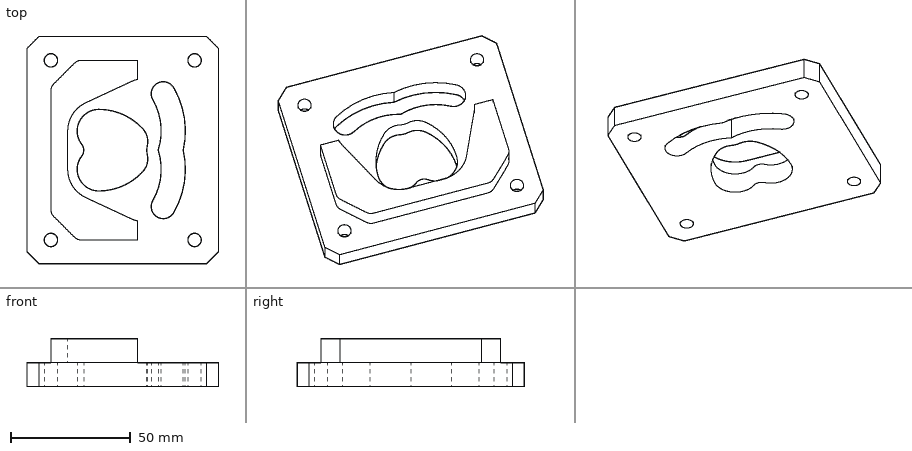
import cadquery as cq
import math

PLATE_X = 80.0
PLATE_Y = 95.0
PLATE_THICKNESS = 10.0
PLATE_CHAMFER = 5.0

HOLE_DIAMETER = 5.5
HOLE_PITCH_X = 60.0
HOLE_PITCH_Y = 75.0

PIVOT_X = -10.0
PIVOT_Y = 8.0

GUIDE_HEIGHT = 10.0
GUIDE_LEFT = -HOLE_PITCH_X / 2
GUIDE_TIP = 6.2
GUIDE_HALF_Y = HOLE_PITCH_Y / 2
GUIDE_CORNER_RADIUS = 4.0
GUIDE_CHAMFER = 11.0
GUIDE_CHAMFER_ANGLE = 45.0
GUIDE_INNER_RADIUS = 13.0
GUIDE_FLARE_ANGLE = 25.0
GUIDE_FLARE_END = 3.8
GUIDE_TIP_RADIUS = 10.0

LOBE_RADIUS = 9.0
LOBE_BLEND_RADIUS = 4.0
SHOULDER_X = 2.4
SHOULDER_Y = 3.6
SHOULDER_RADIUS = 8.0
SHOULDER_BLEND_RADIUS = 8.0
FLANK_RADIUS = 25.0

SLOT_PATH_RADIUS = 31.1
SLOT_WIDTH = 10.0
SLOT_END_ANGLE = 30.0


def polar(center, radius, angle):
    """Point at a distance and an angle (radians) from a center."""
    return (center[0] + radius * math.cos(angle), center[1] + radius * math.sin(angle))


def direction(start, end):
    """Angle in radians of the line from start to end."""
    return math.atan2(end[1] - start[1], end[0] - start[0])


def arc(sketch, center, radius, start, end):
    """Add an arc about center between two angles in radians."""
    middle = polar(center, radius, (start + end) / 2)
    return sketch.threePointArc(middle, polar(center, radius, end))


def mirrored_prism(half_outline, height):
    """Extrude an outline drawn on the +Y side and join its mirror image."""
    half = half_outline.close().extrude(height)
    return half.union(half.mirror("XZ"))


def make_plate():
    plate = cq.Workplane("XY").box(PLATE_X, PLATE_Y, PLATE_THICKNESS, centered=(True, True, False))
    plate = plate.edges("|Z").chamfer(PLATE_CHAMFER)
    holes = plate.faces(">Z").workplane().rect(HOLE_PITCH_X, HOLE_PITCH_Y, forConstruction=True).vertices()
    return holes.hole(HOLE_DIAMETER)


def make_guide():
    pivot = (PIVOT_X, PIVOT_Y)
    chamfer_angle = math.radians(GUIDE_CHAMFER_ANGLE)
    corner_setback = GUIDE_CORNER_RADIUS * math.tan(chamfer_angle / 2)
    corner_offset = GUIDE_CHAMFER + corner_setback
    lower_corner = (GUIDE_LEFT + GUIDE_CORNER_RADIUS, GUIDE_HALF_Y - corner_offset)
    upper_corner = (GUIDE_LEFT + corner_offset, GUIDE_HALF_Y - GUIDE_CORNER_RADIUS)
    slope_normal = chamfer_angle + math.pi / 2
    flare = math.radians(GUIDE_FLARE_ANGLE)
    flare_normal = flare + math.pi / 2
    flare_start = polar(pivot, GUIDE_INNER_RADIUS, flare_normal)
    flare_end_y = flare_start[1] + (GUIDE_FLARE_END - flare_start[0]) * math.tan(flare)
    tip_center = polar((GUIDE_FLARE_END, flare_end_y), -GUIDE_TIP_RADIUS, flare_normal)
    tip_angle = math.acos((GUIDE_TIP - tip_center[0]) / GUIDE_TIP_RADIUS)

    outline = cq.Workplane("XY").workplane(offset=PLATE_THICKNESS)
    outline = outline.moveTo(GUIDE_LEFT, 0).lineTo(GUIDE_LEFT, lower_corner[1])
    outline = arc(outline, lower_corner, GUIDE_CORNER_RADIUS, math.pi, slope_normal)
    outline = outline.lineTo(*polar(upper_corner, GUIDE_CORNER_RADIUS, slope_normal))
    outline = arc(outline, upper_corner, GUIDE_CORNER_RADIUS, slope_normal, math.pi / 2)
    outline = outline.lineTo(GUIDE_TIP, GUIDE_HALF_Y)
    outline = outline.lineTo(*polar(tip_center, GUIDE_TIP_RADIUS, tip_angle))
    outline = arc(outline, tip_center, GUIDE_TIP_RADIUS, tip_angle, flare_normal)
    outline = outline.lineTo(*flare_start)
    outline = arc(outline, pivot, GUIDE_INNER_RADIUS, flare_normal, math.pi)
    outline = outline.lineTo(PIVOT_X - GUIDE_INNER_RADIUS, 0)
    return mirrored_prism(outline, GUIDE_HEIGHT)


def flank_center(lobe, shoulder):
    """Center of the long arc that encloses and touches lobe and shoulder."""
    to_lobe = FLANK_RADIUS - LOBE_RADIUS
    to_shoulder = FLANK_RADIUS - SHOULDER_RADIUS
    span = math.dist(lobe, shoulder)
    cosine = (to_lobe**2 + span**2 - to_shoulder**2) / (2 * to_lobe * span)
    return polar(lobe, to_lobe, direction(lobe, shoulder) - math.acos(cosine))


def make_window():
    lobe = (PIVOT_X, PIVOT_Y)
    shoulder = (SHOULDER_X, SHOULDER_Y)
    flank = flank_center(lobe, shoulder)
    lobe_reach = LOBE_RADIUS + LOBE_BLEND_RADIUS
    shoulder_reach = SHOULDER_RADIUS + SHOULDER_BLEND_RADIUS
    left_blend = (PIVOT_X - math.sqrt(lobe_reach**2 - PIVOT_Y**2), 0)
    right_blend = (SHOULDER_X + math.sqrt(shoulder_reach**2 - SHOULDER_Y**2), 0)
    lobe_start = direction(lobe, left_blend) + 2 * math.pi
    lobe_end = direction(flank, lobe)
    shoulder_start = direction(flank, shoulder)
    shoulder_end = direction(shoulder, right_blend)

    outline = cq.Workplane("XY").moveTo(left_blend[0] + LOBE_BLEND_RADIUS, 0)
    outline = arc(outline, left_blend, LOBE_BLEND_RADIUS, 0, direction(left_blend, lobe))
    outline = arc(outline, lobe, LOBE_RADIUS, lobe_start, lobe_end)
    outline = arc(outline, flank, FLANK_RADIUS, lobe_end, shoulder_start)
    outline = arc(outline, shoulder, SHOULDER_RADIUS, shoulder_start, shoulder_end)
    outline = arc(outline, right_blend, SHOULDER_BLEND_RADIUS, direction(right_blend, shoulder), math.pi)
    return mirrored_prism(outline, PLATE_THICKNESS)


def make_slot():
    pivot = (PIVOT_X, PIVOT_Y)
    half_width = SLOT_WIDTH / 2
    inner = SLOT_PATH_RADIUS - half_width
    outer = SLOT_PATH_RADIUS + half_width
    end_angle = math.radians(SLOT_END_ANGLE)
    end_center = polar(pivot, SLOT_PATH_RADIUS, end_angle)
    inner_start = -math.asin(PIVOT_Y / inner)
    outer_start = -math.asin(PIVOT_Y / outer)

    outline = cq.Workplane("XY").moveTo(*polar(pivot, outer, outer_start))
    outline = arc(outline, pivot, outer, outer_start, end_angle)
    outline = arc(outline, end_center, half_width, end_angle, end_angle + math.pi)
    outline = arc(outline, pivot, inner, end_angle, inner_start)
    return mirrored_prism(outline, PLATE_THICKNESS)


result = make_plate().cut(make_window()).cut(make_slot()).union(make_guide())